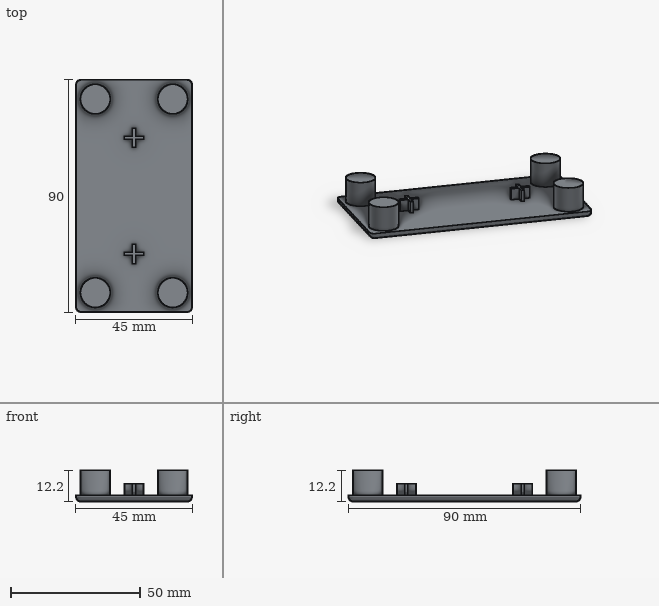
import cadquery as cq

plate_width = 45.0
plate_length = 90.0
plate_thickness = 2.5
edge_radius = 2.0

total_height = 12.2
post_diameter = 11.5
post_spacing_x = 30.0
post_spacing_y = 75.0
post_height = total_height - plate_thickness

cross_span = 7.5
rib_thickness_x = 1.4
rib_thickness_y = 1.2
cross_height = 4.5
cross_spacing = plate_length / 2


def make_plate():
    """Plate with rounded corners and a rounded lower edge."""
    plate = cq.Workplane("XY").box(
        plate_width, plate_length, plate_thickness, centered=(True, True, False)
    )
    return plate.edges("|Z").fillet(edge_radius).faces("<Z").edges().fillet(edge_radius)


def make_posts():
    """Four cylinders standing on the plate."""
    return (
        cq.Workplane("XY", origin=(0, 0, plate_thickness))
        .rarray(post_spacing_x, post_spacing_y, 2, 2)
        .circle(post_diameter / 2)
        .extrude(post_height)
    )


def make_ribs(size_x, size_y):
    """One rib of each cross, at both cross positions."""
    return (
        cq.Workplane("XY", origin=(0, 0, plate_thickness))
        .rarray(0.9, cross_spacing, 1, 2)
        .rect(size_x, size_y)
        .extrude(cross_height)
    )


result = (
    make_plate()
    .union(make_posts())
    .union(make_ribs(cross_span, rib_thickness_y))
    .union(make_ribs(rib_thickness_x, cross_span))
)